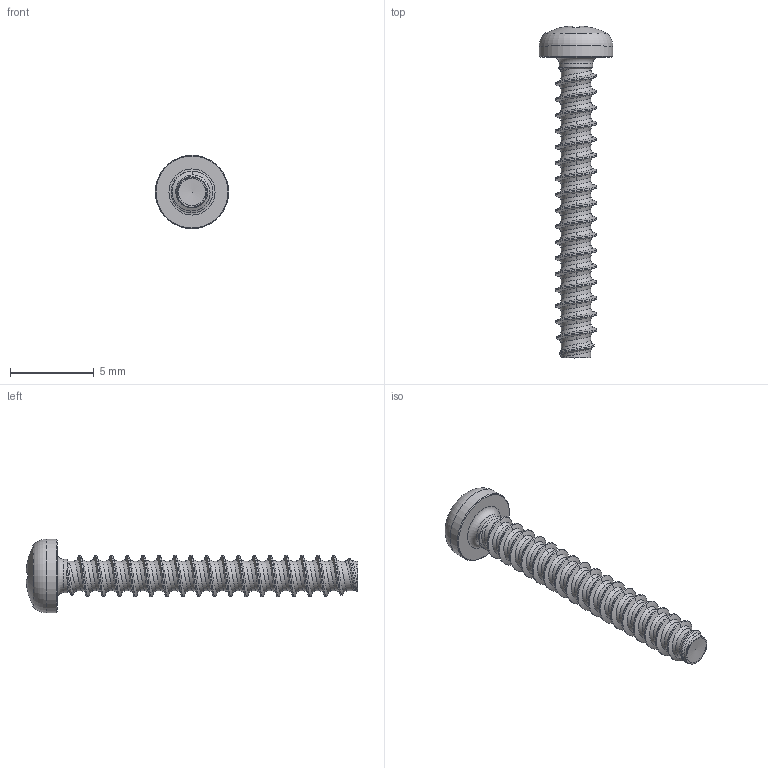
import cadquery as cq
import math


head_radius = 2.2
head_height = 1.88
rim_height = 0.67
rim_chamfer = 0.05
crown_radius = 1.86
crown_drop = 0.45

recess_depth = 1.0
wing_width = 0.42
wing_span = 2.2
wing_floor_width = 0.3
wing_floor_span = 0.8
recess_clearance = 0.01

shank_length = 18.0
core_radius = 0.88
neck_radius = 1.0
neck_fillet = 0.38
neck_length = 0.6
neck_cone_length = 0.1
dish_radius = 0.82
dish_depth = 0.06

pitch = 0.95
thread_radius = 1.25
crest_half_width = 0.04
flank_radius = 0.97
flank_half_width = 0.13
root_half_width = 0.45
root_radius = 0.84
first_turn_start = 0.395
start_angle = math.pi / 2
thread_turns = 18.6
fade_in_turns = 1.0
fade_out_turns = 1.6
end_height_ratio = 0.12
points_per_turn = 12


def revolve_about_axis(profile):
    return profile.close().revolve(360, (0, 0, 0), (0, 1, 0))


def make_head():
    shoulder_y = head_height - crown_drop
    crown_sphere = (crown_radius**2 + crown_drop**2) / (2 * crown_drop)
    half_angle = math.asin(crown_radius / crown_sphere) / 2
    crown_mid = (
        crown_sphere * math.sin(half_angle),
        head_height - crown_sphere * (1 - math.cos(half_angle)),
    )
    profile = (
        cq.Workplane("XY")
        .lineTo(head_radius - rim_chamfer, 0)
        .lineTo(head_radius, rim_chamfer)
        .lineTo(head_radius, rim_height)
        .tangentArcPoint((crown_radius, shoulder_y), relative=False)
        .threePointArc(crown_mid, (0, head_height))
    )
    return revolve_about_axis(profile)


def make_shank():
    fillet_mid = neck_fillet * (1 - math.sqrt(0.5))
    profile = (
        cq.Workplane("XY")
        .moveTo(0, rim_height)
        .lineTo(neck_radius + neck_fillet, rim_height)
        .lineTo(neck_radius + neck_fillet, 0)
        .threePointArc((neck_radius + fillet_mid, -fillet_mid), (neck_radius, -neck_fillet))
        .lineTo(neck_radius, -neck_length)
        .lineTo(core_radius, -neck_length - neck_cone_length)
        .lineTo(core_radius, -shank_length)
        .lineTo(0, -shank_length)
    )
    return revolve_about_axis(profile)


def make_tip_cutter():
    """Trims the thread flush with the end face and sinks the hollow into it."""
    profile = (
        cq.Workplane("XY")
        .moveTo(0, dish_depth - shank_length)
        .lineTo(dish_radius, -shank_length)
        .lineTo(head_radius, -shank_length)
        .lineTo(head_radius, -shank_length - pitch)
        .lineTo(0, -shank_length - pitch)
    )
    return revolve_about_axis(profile)


def thread_height_ratio(turn):
    """Thread height as a share of full height, fading towards both ends."""
    fade_in = math.sin(math.pi / 2 * min(1, turn / fade_in_turns))
    fade_out = min(1, (thread_turns - turn) / fade_out_turns)
    return end_height_ratio + (1 - end_height_ratio) * min(fade_in, fade_out)


def thread_section(height_ratio):
    """Corners of the thread section as (radius, offset along the axis).

    The flare at the root fades more slowly than the crest.
    """
    height = (thread_radius - root_radius) * height_ratio
    flank_height = (flank_radius - root_radius) * math.sqrt(height_ratio)
    upper_half = [
        (root_radius, root_half_width),
        (root_radius + flank_height, flank_half_width),
        (root_radius + height, crest_half_width),
    ]
    lower_half = [(radius, -offset) for radius, offset in reversed(upper_half)]
    return upper_half + lower_half


def thread_edge(corner, first_turn, last_turn):
    """Helical edge traced by one corner of the thread section."""
    points = []
    for step in range(points_per_turn + 1):
        turn = first_turn + (last_turn - first_turn) * step / points_per_turn
        angle = start_angle + 2 * math.pi * turn
        radius, offset = thread_section(thread_height_ratio(turn))[corner]
        y = offset - first_turn_start - pitch * turn
        points.append(cq.Vector(radius * math.cos(angle), y, radius * math.sin(angle)))
    return cq.Edge.makeSpline(points)


def make_thread_piece(first_turn, last_turn):
    """Solid stretch of thread: ruled faces between its edges and a flat cap at each end."""
    corner_count = len(thread_section(1))
    edges = [thread_edge(corner, first_turn, last_turn) for corner in range(corner_count)]
    neighbours = list(zip(edges, edges[1:] + edges[:1]))
    faces = [cq.Face.makeRuledSurface(edge, following) for edge, following in neighbours]
    for end in (0, 1):
        corners = [edge.positionAt(end) for edge in edges]
        faces.append(cq.Face.makeFromWires(cq.Wire.makePolygon(corners, close=True)))
    return cq.Solid.makeSolid(cq.Shell.makeShell(faces)).fix()


def make_recess_wing(turn_angle):
    """Tapered slot across the head, narrowing towards the recess floor."""
    wing = (
        cq.Workplane("XZ", origin=(0, head_height + recess_clearance, 0))
        .rect(wing_span, wing_width)
        .workplane(offset=recess_depth)
        .rect(wing_floor_span, wing_floor_width)
        .loft(ruled=True)
    )
    return wing.rotate((0, 0, 0), (0, 1, 0), turn_angle)


head = make_head()
for wing_angle in (0, 90):
    head = head.cut(make_recess_wing(wing_angle))

thread_pieces = []
for turn_number in range(math.ceil(thread_turns)):
    piece_end = min(turn_number + 1, thread_turns)
    thread_pieces.append(make_thread_piece(turn_number, piece_end))

body = make_shank().val().fuse(head.val(), *thread_pieces)
result = cq.Workplane(body).cut(make_tip_cutter()).solids()